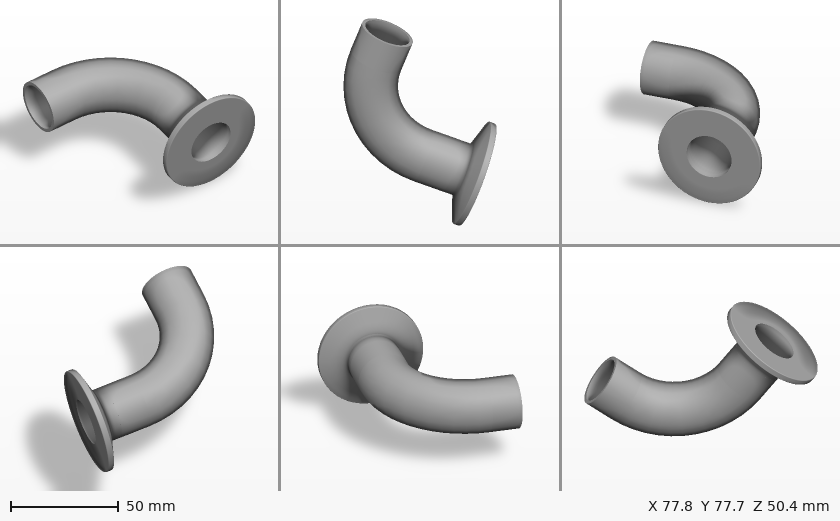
import cadquery as cq
import math

tube_diameter = 25.4
bore_diameter = 22.1
bend_radius = 38.05
tangent_length = 14.4

ferrule_length = 12.7
neck_diameter = 25.3
flange_diameter = 50.4
rim_width = 2.9
cone_angle = 20.0
neck_fillet = 1.0
rim_fillet = 0.4

tube_radius = tube_diameter / 2
bore_radius = bore_diameter / 2
neck_radius = neck_diameter / 2
flange_radius = flange_diameter / 2

ferrule_start = tangent_length
flange_face = ferrule_start + ferrule_length
rim_start = flange_face - rim_width
cone_start = rim_start - (flange_radius - neck_radius) * math.tan(math.radians(cone_angle))


def bent_bar(radius):
    """Solid round bar along both straight legs and the quarter bend."""
    inlet = cq.Workplane("XZ").center(-bend_radius, 0)
    outlet = cq.Workplane("YZ").center(bend_radius, 0)
    axis_start = (bend_radius, 0)
    axis_end = (bend_radius, -1)
    open_leg = inlet.circle(radius).extrude(tangent_length)
    bend = inlet.circle(radius).revolve(90, axis_start, axis_end)
    ferrule_leg = outlet.circle(radius).extrude(tangent_length)
    return open_leg.union(bend).union(ferrule_leg)


def edges_between(x_low, x_high):
    """Selector for ferrule edges whose centres lie between two X positions."""
    margin = 0.1
    return cq.selectors.BoxSelector(
        (x_low - margin, bend_radius - flange_radius, -flange_radius),
        (x_high + margin, bend_radius + flange_radius, flange_radius),
    )


def clamp_ferrule():
    """Solid ferrule with a plain neck, conical back and rounded rim."""
    profile = (
        cq.Workplane("XY", origin=(0, bend_radius, 0))
        .moveTo(ferrule_start, 0)
        .lineTo(ferrule_start, neck_radius)
        .lineTo(cone_start, neck_radius)
        .lineTo(rim_start, flange_radius)
        .lineTo(flange_face, flange_radius)
        .lineTo(flange_face, 0)
        .close()
    )
    ferrule = profile.revolve(360, (0, 0), (1, 0))
    ferrule = ferrule.edges(edges_between(cone_start, cone_start)).fillet(neck_fillet)
    return ferrule.edges(edges_between(rim_start, flange_face)).fillet(rim_fillet)


def ferrule_bore():
    """Straight bore through the ferrule, in line with the tube bore."""
    start = cq.Workplane("YZ", origin=(ferrule_start, bend_radius, 0))
    return start.circle(bore_radius).extrude(ferrule_length)


outside = bent_bar(tube_radius).union(clamp_ferrule())
inside = bent_bar(bore_radius).union(ferrule_bore())
result = outside.cut(inside)